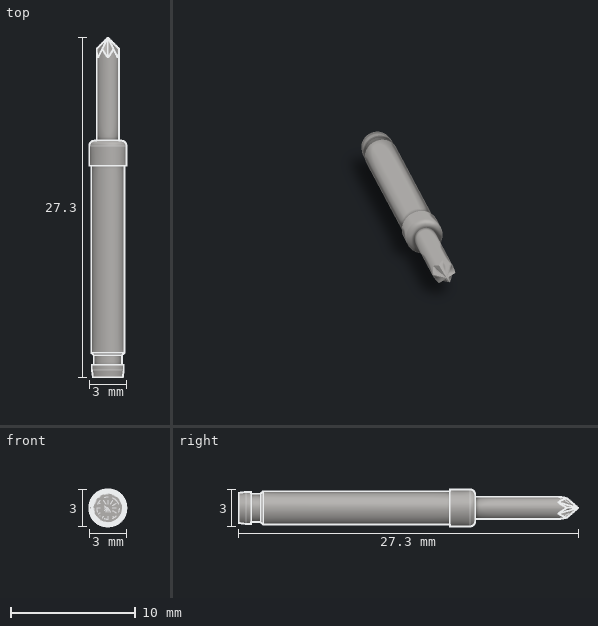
import cadquery as cq
import math

total_length = 27.3
pin_diameter = 1.8
pin_length = 8.27
collar_diameter = 3.0
collar_length = 2.05
collar_round = 0.45
barrel_diameter = 2.7
neck_diameter = 2.3
neck_length = 0.76
tail_diameter = 2.6
tail_length = 1.0
tail_taper_length = 0.6
tail_taper_depth = 0.08
barrel_chamfer = (barrel_diameter - neck_diameter) / 2

ridge_count = 6
ridge_angle = 45.0
valley_angle = 29.5

barrel_bottom = tail_length + neck_length
collar_top = total_length - pin_length
collar_bottom = collar_top - collar_length


def cylinder(diameter, start, end):
    """Round bar along +Y between two stations."""
    base = cq.Vector(0, start, 0)
    axis = cq.Vector(0, 1, 0)
    return cq.Workplane(cq.Solid.makeCylinder(diameter / 2, end - start, base, axis))


def star_pyramid(apex, height):
    """Pyramid with a star base, apex on the Y axis, widening towards -Y."""
    base = apex - height
    radii = (height * math.tan(math.radians(ridge_angle)), height * math.tan(math.radians(valley_angle)))
    corners = []
    for i in range(2 * ridge_count):
        angle = math.pi * i / ridge_count
        radius = radii[i % 2]
        corners.append(cq.Vector(radius * math.cos(angle), base, radius * math.sin(angle)))
    point = cq.Vector(0, apex, 0)
    faces = [cq.Face.makeFromWires(cq.Wire.makePolygon(corners, close=True))]
    for i, corner in enumerate(corners):
        triangle = cq.Wire.makePolygon([corners[i - 1], corner, point], close=True)
        faces.append(cq.Face.makeFromWires(triangle))
    return cq.Workplane(cq.Solid.makeSolid(cq.Shell.makeShell(faces)))


tail = cylinder(tail_diameter, 0, tail_length).faces("<Y").chamfer(tail_taper_length, tail_taper_depth)
neck = cylinder(neck_diameter, tail_length, barrel_bottom)
barrel = cylinder(barrel_diameter, barrel_bottom, collar_bottom).faces("<Y").chamfer(barrel_chamfer)
collar = cylinder(collar_diameter, collar_bottom, collar_top).faces(">Y").edges().fillet(collar_round)
pin = cylinder(pin_diameter, collar_top, total_length).intersect(star_pyramid(total_length, pin_length))

result = tail.union(neck).union(barrel).union(collar).union(pin)